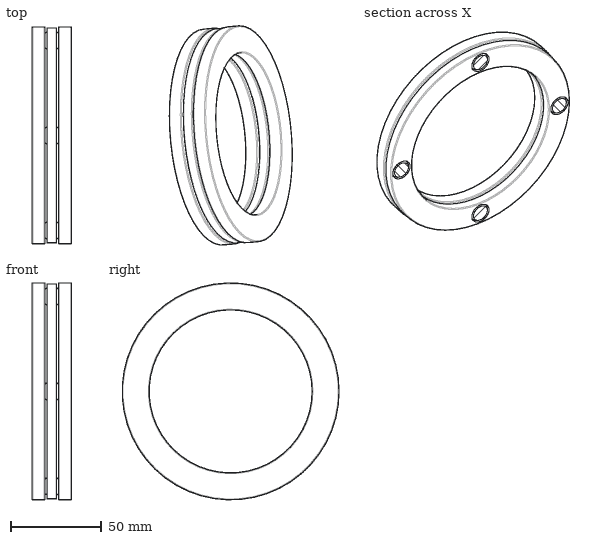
import cadquery as cq
import math

bearing_width = 22.0
edge_radius = 0.5

washer_outer_diameter = 120.0
washer_bore = 90.0
washer_thickness = bearing_width / 3
washer_center_x = (bearing_width - washer_thickness) / 2

cage_inset = 0.5
cage_outer_diameter = washer_outer_diameter - 2 * cage_inset
cage_bore = washer_bore + 2 * cage_inset
cage_thickness = 5.5
cage_pocket_diameter = 11.4

ball_count = 4
ball_radius = 11.0 / 2
pitch_radius = (washer_outer_diameter + washer_bore) / 4

ball_angles = [2 * math.pi * index / ball_count for index in range(ball_count)]
ball_centers = [
    (pitch_radius * math.cos(angle), pitch_radius * math.sin(angle)) for angle in ball_angles
]


def make_ring(outer_diameter, bore, thickness, center_x):
    """Flat ring around the X axis with all four rim edges rounded."""
    return (
        cq.Workplane("YZ", origin=(center_x - thickness / 2, 0, 0))
        .circle(outer_diameter / 2)
        .circle(bore / 2)
        .extrude(thickness)
        .edges()
        .fillet(edge_radius)
    )


def make_washer(center_x):
    """Washer with a raceway groove for the balls in the face toward the cage."""
    blank = make_ring(washer_outer_diameter, washer_bore, washer_thickness, center_x)
    ball_path = cq.Solid.makeTorus(
        pitch_radius, ball_radius, cq.Vector(0, 0, 0), cq.Vector(1, 0, 0)
    )
    return blank.cut(cq.Workplane(ball_path))


def make_cage():
    """Flat cage with one round through pocket per ball."""
    ring = make_ring(cage_outer_diameter, cage_bore, cage_thickness, 0)
    pockets = (
        cq.Workplane("YZ")
        .pushPoints(ball_centers)
        .circle(cage_pocket_diameter / 2)
        .extrude(cage_thickness, both=True)
    )
    return ring.cut(pockets)


def make_ball(center):
    """Ball with its centre at the given (Y, Z) point of the pitch circle."""
    y, z = center
    return cq.Workplane("XY").sphere(ball_radius).translate((0, y, z))


washers = [make_washer(side * washer_center_x) for side in (-1, 1)]
cage = make_cage()
balls = [make_ball(center) for center in ball_centers]

result = cq.Compound.makeCompound([body.val() for body in (*washers, cage, *balls)])